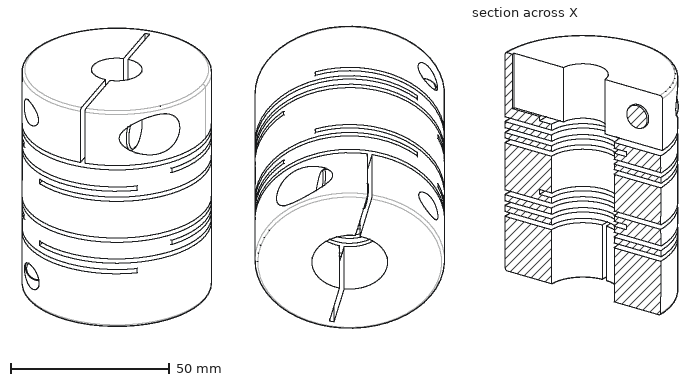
import cadquery as cq

length = 76.2
body_radius = 29.985
rim_fillet = 0.9
upper_bore_radius = 8.0
lower_bore_radius = 12.0

slot_width = 1.5
slot_reach = 16.5
slot_offsets = (18.4, 14.6, 10.8, 7.25)
upper_slot_sides = ("-Y", "+Y", "-X", "+X")
lower_slot_sides = ("-X", "+X", "+Y", "-Y")
turn_from_minus_y = {"-Y": 0, "+X": 90, "+Y": 180, "-X": 270}

slit_width = 1.5
slit_reach = 27.0

bolt_radius = 8.0 / 2
bolt_distance = 20.7
bolt_end_depth = 9.4
bolt_tip = -16.85
tip_chamfer = 0.7
head_radius = 6.5
head_height = 8.0
head_end = 14.3
head_chamfer = 0.6
counterbore_radius = 13.95 / 2
counterbore_floor = head_end - head_height

middle = length / 2
bolt_height = length - bolt_end_depth
hub_base = middle + slot_offsets[0] + slot_width / 2


def to_lower_hub(shape):
    """Flip an upper hub shape about mid-length so its open -Y side faces -X."""
    flipped = shape.rotate((0, 0, middle), (1, 0, middle), 180)
    return flipped.rotate((0, 0, 0), (0, 0, 1), 90)


def side_cut(width, reach, bottom, height):
    """Box entering from the -Y side and stopping at the given reach past the axis."""
    depth = body_radius + reach
    box = cq.Workplane("XY").box(width, depth, height, centered=(True, False, False))
    return box.translate((0, -body_radius, bottom))


def flexing_slot(height, side):
    cut = side_cut(2 * body_radius, slot_reach, height - slot_width / 2, slot_width)
    return cut.rotate((0, 0, 0), (0, 0, 1), turn_from_minus_y[side])


def rod(radius, start, end):
    """Cylinder along the upper hub's bolt axis, between two X positions."""
    plane = cq.Workplane("YZ", origin=(start, -bolt_distance, bolt_height))
    return plane.circle(radius).extrude(end - start)


def bolt():
    shank = rod(bolt_radius, bolt_tip, counterbore_floor).faces("<X").chamfer(tip_chamfer)
    head = rod(head_radius, counterbore_floor, head_end).faces(">X").chamfer(head_chamfer)
    return shank.union(head)


def bolt_hole():
    clearance = rod(bolt_radius, -body_radius, body_radius)
    return clearance.union(rod(counterbore_radius, counterbore_floor, body_radius))


def body():
    blank = cq.Workplane("XY").circle(body_radius).extrude(length)
    blank = blank.faces("<Z or >Z").edges().fillet(rim_fillet)
    lower_bore = cq.Workplane("XY").circle(lower_bore_radius).extrude(hub_base)
    upper_bore = cq.Workplane("XY").circle(upper_bore_radius).extrude(length)
    return blank.cut(lower_bore).cut(upper_bore)


result = body()

for offset, upper_side, lower_side in zip(slot_offsets, upper_slot_sides, lower_slot_sides):
    result = result.cut(flexing_slot(middle + offset, upper_side))
    result = result.cut(flexing_slot(middle - offset, lower_side))

slit = side_cut(slit_width, slit_reach, hub_base, length - hub_base)
for cutter in (slit, bolt_hole()):
    result = result.cut(cutter).cut(to_lower_hub(cutter))

result = result.union(bolt()).union(to_lower_hub(bolt()))